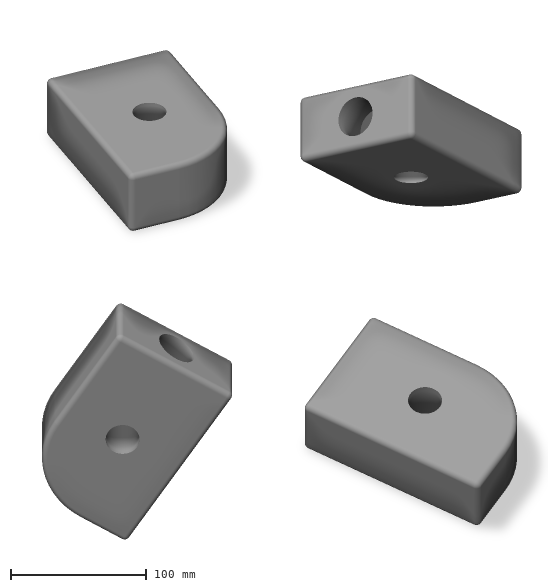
import cadquery as cq

length = 150.0
width = length * 2 / 3
height = length / 3
corner_radius = 60.0
edge_radius = 4.0

vertical_hole_diameter = length / 6
side_hole_diameter = length / 5
side_hole_depth = 30.0


def rounded_block():
    """Block with one large rounded corner at +X +Y and all edges filleted."""
    block = cq.Workplane("XY").box(length, width, height)
    block = block.edges("|Z and >X and >Y").fillet(corner_radius)
    return block.edges().fillet(edge_radius)


def vertical_hole():
    """Cutter for the central hole through the full height."""
    return cq.Workplane("XY").circle(vertical_hole_diameter / 2).extrude(height / 2, both=True)


def side_hole():
    """Cutter for the blind, flat-bottomed hole in the -X face."""
    face = cq.Workplane("YZ", origin=(-length / 2, 0, 0))
    return face.circle(side_hole_diameter / 2).extrude(side_hole_depth)


result = rounded_block().cut(vertical_hole()).cut(side_hole())